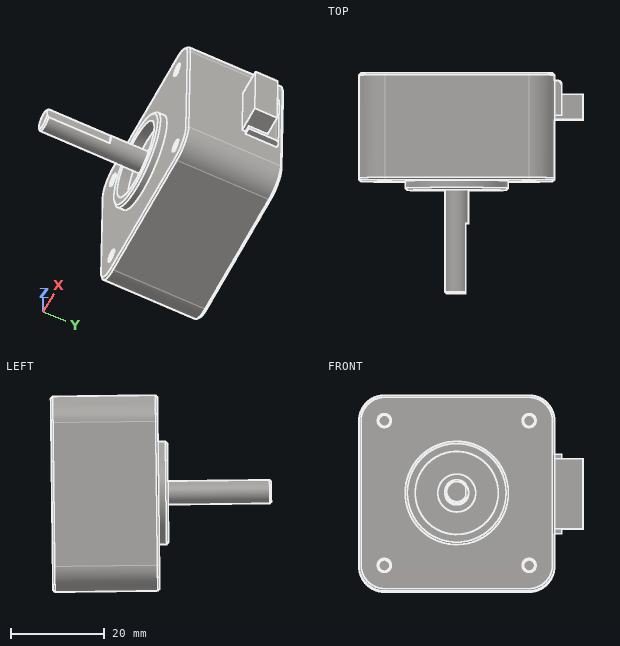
import cadquery as cq

TILT_DEGREES = -0.7

BODY_WIDTH = 41.9
BODY_DEPTH = 22.9
CORNER_RADIUS = 5.55
EDGE_CHAMFER = 0.5

BOSS_DIAMETER = 22.1
BOSS_HEIGHT = 2.0
BOSS_CHAMFER = 0.5
RECESS_DIAMETER = 17.75
RECESS_DEPTH = 2.5
SEAT_DIAMETER = 8.1
SEAT_DEPTH = 1.0

SHAFT_DIAMETER = 5.1
SHAFT_LENGTH = 24.1
SHAFT_CHAMFER = 0.4
FLAT_LENGTH = 15.0
FLAT_OFFSET = 1.95

HOLE_SPACING = 30.95
HOLE_DIAMETER = 2.45
HOLE_MOUTH_DIAMETER = 3.0
HOLE_DEPTH = 4.5
COUNTERSINK_TAPER = 45

FLANGE_REACH = 1.55
FLANGE_HEIGHT = 17.0
FLANGE_BACK = 1.5
FLANGE_FRONT = 9.0
FLANGE_FILLET = 1.05
SOCKET_REACH = 6.1
SOCKET_HEIGHT = 15.0
SOCKET_BACK = 4.45
SOCKET_FRONT = 9.8


def cylinder(diameter, y_front, y_back):
    """Cylinder along Y, centred on the shaft axis."""
    plane = cq.Workplane("XZ", origin=(0, y_back, 0))
    return plane.circle(diameter / 2).extrude(y_back - y_front)


def housing():
    block = cq.Workplane("XY").box(BODY_WIDTH, BODY_DEPTH, BODY_WIDTH)
    block = block.edges("|Y").fillet(CORNER_RADIUS)
    block = block.faces("<Y or >Y").chamfer(EDGE_CHAMFER)
    return block.translate((0, BODY_DEPTH / 2, 0))


def boss():
    return cylinder(BOSS_DIAMETER, -BOSS_HEIGHT, EDGE_CHAMFER).faces("<Y").chamfer(BOSS_CHAMFER)


def bearing_seat():
    recess_floor = RECESS_DEPTH - BOSS_HEIGHT
    recess = cylinder(RECESS_DIAMETER, -BOSS_HEIGHT, recess_floor)
    return recess.union(cylinder(SEAT_DIAMETER, -BOSS_HEIGHT, recess_floor + SEAT_DEPTH))


def shaft():
    rod = cylinder(SHAFT_DIAMETER, -SHAFT_LENGTH, BODY_DEPTH / 2)
    rod = rod.faces("<Y").chamfer(SHAFT_CHAMFER)
    flat_cut = cq.Workplane("XY").box(
        SHAFT_DIAMETER, FLAT_LENGTH, SHAFT_DIAMETER, centered=(False, False, True)
    )
    return rod.cut(flat_cut.translate((FLAT_OFFSET, -SHAFT_LENGTH, 0)))


def mounting_holes():
    countersink_depth = (HOLE_MOUTH_DIAMETER - HOLE_DIAMETER) / 2
    hole = cylinder(HOLE_DIAMETER, 0, HOLE_DEPTH)
    mouth = cq.Workplane("XZ").circle(HOLE_MOUTH_DIAMETER / 2)
    mouth = mouth.extrude(-countersink_depth, taper=COUNTERSINK_TAPER)
    hole = hole.union(mouth)
    holes = cq.Workplane("XY")
    for x_side in (-1, 1):
        for z_side in (-1, 1):
            offset = (x_side * HOLE_SPACING / 2, 0, z_side * HOLE_SPACING / 2)
            holes = holes.add(hole.translate(offset))
    return holes.combine()


def connector_block(reach, height, back, front):
    """Block on the +X side whose root is sunk slightly into the housing."""
    root = BODY_WIDTH / 2 - EDGE_CHAMFER
    block = cq.Workplane("XY").box(
        reach + EDGE_CHAMFER, front - back, height, centered=(False, False, True)
    )
    return block.translate((root, BODY_DEPTH - front, 0))


def connector():
    flange = connector_block(FLANGE_REACH, FLANGE_HEIGHT, FLANGE_BACK, FLANGE_FRONT)
    flange = flange.edges(">X and >Y").fillet(FLANGE_FILLET)
    return flange.union(connector_block(SOCKET_REACH, SOCKET_HEIGHT, SOCKET_BACK, SOCKET_FRONT))


motor = housing().union(boss()).cut(bearing_seat()).cut(mounting_holes())
motor = motor.union(shaft()).union(connector())
result = motor.rotate((0, 0, 0), (1, 0, 0), TILT_DEGREES)